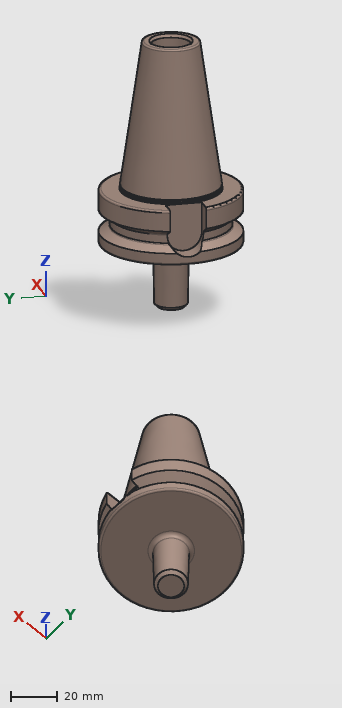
import cadquery as cq
import math

total_height = 121.4
flange_bottom = 29.1
v_groove_bottom = 37.3
v_groove_top = 41.8
flange_top = 54.0
gauge_height = 56.0

gauge_radius = 22.2
taper_slope = 7 / 48
nose_radius = gauge_radius - (total_height - gauge_height) * taper_slope
nose_fillet = 0.7
neck_radius = 22.0
neck_relief_height = 0.7
neck_fillet = 0.5

flange_diameter = 63.0
flange_radius = flange_diameter / 2
groove_radius = 26.7
groove_wall_height = (flange_radius - groove_radius) * math.tan(math.radians(30))
flange_fillet = 1.0
groove_fillet = 0.6

shank_root_radius = 7.9
shank_tip_radius = 7.4
shank_chamfer = 1.7
root_fillet = 2.2

slot_width = 16.1
slot_floor_x = 22.5
slot_bottom = 32.7

bore_mouth_radius = 9.5
bore_radius = 8.6
mouth_chamfer_angle = 60
bore_depth = 7.0
undercut_radius = 8.9
undercut_taper_depth = 1.2
undercut_straight_depth = 1.1
thread_hole_radius = 7.0
thread_hole_depth = 30.4
drill_point_angle = 118.0


def make_body():
    """Revolve the taper, flange and shank about Z."""
    arc_inset_ratio = 1 - math.sqrt(0.5)
    root_edge_radius = shank_root_radius + root_fillet
    root_inset = root_fillet * arc_inset_ratio
    root_arc_mid = (shank_root_radius + root_inset, flange_bottom - root_inset)
    fillet_inset = flange_fillet * arc_inset_ratio
    neck_inset = neck_fillet * arc_inset_ratio
    nose_inset = nose_fillet * arc_inset_ratio
    nose_edge_radius = nose_radius + nose_fillet * taper_slope
    return (
        cq.Workplane("XZ")
        .lineTo(shank_tip_radius - shank_chamfer, 0)
        .lineTo(shank_tip_radius, shank_chamfer)
        .lineTo(shank_root_radius, flange_bottom - root_fillet)
        .threePointArc(root_arc_mid, (root_edge_radius, flange_bottom))
        .lineTo(flange_radius - flange_fillet, flange_bottom)
        .threePointArc(
            (flange_radius - fillet_inset, flange_bottom + fillet_inset),
            (flange_radius, flange_bottom + flange_fillet),
        )
        .lineTo(flange_radius, v_groove_bottom - groove_wall_height)
        .lineTo(groove_radius, v_groove_bottom)
        .lineTo(groove_radius, v_groove_top)
        .lineTo(flange_radius, v_groove_top + groove_wall_height)
        .lineTo(flange_radius, flange_top - flange_fillet)
        .threePointArc(
            (flange_radius - fillet_inset, flange_top - fillet_inset),
            (flange_radius - flange_fillet, flange_top),
        )
        .lineTo(neck_radius + neck_fillet, flange_top)
        .threePointArc(
            (neck_radius + neck_inset, flange_top + neck_inset),
            (neck_radius, flange_top + neck_fillet),
        )
        .lineTo(neck_radius, gauge_height - neck_relief_height)
        .lineTo(gauge_radius, gauge_height)
        .lineTo(nose_edge_radius, total_height - nose_fillet)
        .threePointArc(
            (nose_radius - nose_inset, total_height - nose_inset),
            (nose_radius - nose_fillet, total_height),
        )
        .lineTo(0, total_height)
        .close()
        .revolve(360, (0, 0, 0), (0, 1, 0))
    )


def round_groove_corners(body):
    """Fillet the two circular corners at the floor of the V-groove."""
    margin = 0.1
    for height in (v_groove_bottom, v_groove_top):
        corner = cq.selectors.BoxSelector(
            (-margin, -margin, height - margin),
            (margin, margin, height + margin),
        )
        body = body.edges(corner).fillet(groove_fillet)
    return body


def make_bore():
    """Revolve the chamfered pilot bore, its undercut and the drilled hole below it."""
    mouth_depth = (bore_mouth_radius - bore_radius) * math.tan(math.radians(mouth_chamfer_angle))
    undercut_top = total_height - bore_depth
    undercut_middle = undercut_top - undercut_taper_depth
    undercut_bottom = undercut_middle - undercut_straight_depth
    step_bottom = undercut_bottom - (undercut_radius - thread_hole_radius)
    hole_floor = total_height - thread_hole_depth
    point_depth = thread_hole_radius / math.tan(math.radians(drill_point_angle / 2))
    return (
        cq.Workplane("XZ")
        .moveTo(0, total_height)
        .lineTo(bore_mouth_radius, total_height)
        .lineTo(bore_radius, total_height - mouth_depth)
        .lineTo(bore_radius, undercut_top)
        .lineTo(undercut_radius, undercut_middle)
        .lineTo(undercut_radius, undercut_bottom)
        .lineTo(thread_hole_radius, step_bottom)
        .lineTo(thread_hole_radius, hole_floor)
        .lineTo(0, hole_floor - point_depth)
        .close()
        .revolve(360, (0, 0, 0), (0, 1, 0))
    )


def make_drive_slot(side):
    """Round-bottomed slot, open at the top; side is +1 or -1 along X."""
    half_width = slot_width / 2
    arc_center = slot_bottom + half_width
    return (
        cq.Workplane("YZ", origin=(side * slot_floor_x, 0, 0))
        .moveTo(-half_width, gauge_height)
        .lineTo(-half_width, arc_center)
        .threePointArc((0, slot_bottom), (half_width, arc_center))
        .lineTo(half_width, gauge_height)
        .close()
        .extrude(side * flange_radius)
    )


result = round_groove_corners(make_body()).cut(make_bore())
for slot_side in (1, -1):
    result = result.cut(make_drive_slot(slot_side))